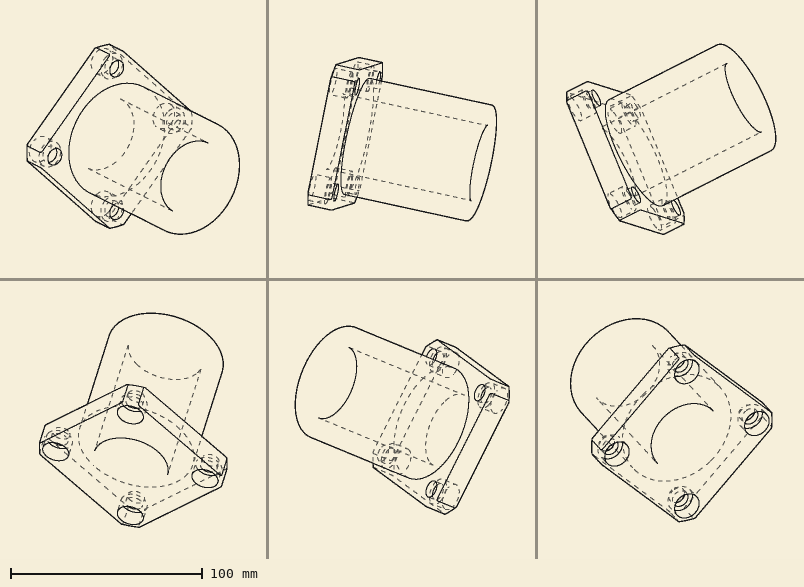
import cadquery as cq

total_length = 80.0
disc_diameter = 98.0
flange_thickness = 13.0
flange_square_side = 74.9
square_tilt = 45
barrel_diameter = 62.0
bore_diameter = 40.0

rim_fillet = 0.9
barrel_end_fillet = 1.4
bore_mouth_fillet = 1.4

hole_count = 4
hole_circle_diameter = 79.9
hole_diameter = 9.0
counterbore_diameter = 14.0
counterbore_depth = 8.6


def cylinder_along_x(diameter, length):
    """Cylinder on the X axis, starting at the outer flange face."""
    return cq.Workplane("YZ").circle(diameter / 2).extrude(length)


def make_flange():
    """Round-edged disc cut down to a square standing on its corner."""
    disc = cylinder_along_x(disc_diameter, flange_thickness).edges().fillet(rim_fillet)
    square = (
        cq.Workplane("YZ")
        .transformed(rotate=(0, 0, square_tilt))
        .rect(flange_square_side, flange_square_side)
        .extrude(flange_thickness)
    )
    return disc.intersect(square)


def make_barrel():
    """Cylindrical sleeve with a rounded free end."""
    barrel = cylinder_along_x(barrel_diameter, total_length)
    return barrel.faces(">X").edges().fillet(barrel_end_fillet)


def cut_bore(body):
    """Bore right through the body and round both mouths."""
    bored = body.cut(cylinder_along_x(bore_diameter, total_length))
    reach = (bore_diameter + barrel_diameter) / 4
    near_bore = cq.selectors.BoxSelector(
        (-reach, -reach, -reach),
        (total_length + reach, reach, reach),
        boundingbox=True,
    )
    mouths = bored.edges("%CIRCLE").edges(near_bore)
    return mouths.fillet(bore_mouth_fillet)


def make_hole_cutters(diameter, depth):
    """Ring of pins on the hole circle, reaching in from the outer flange face."""
    centers = cq.Workplane("YZ").polarArray(hole_circle_diameter / 2, 0, 360, hole_count)
    return centers.circle(diameter / 2).extrude(depth)


body = cut_bore(make_flange().union(make_barrel()))
body = body.cut(make_hole_cutters(hole_diameter, flange_thickness))
result = body.cut(make_hole_cutters(counterbore_diameter, counterbore_depth))